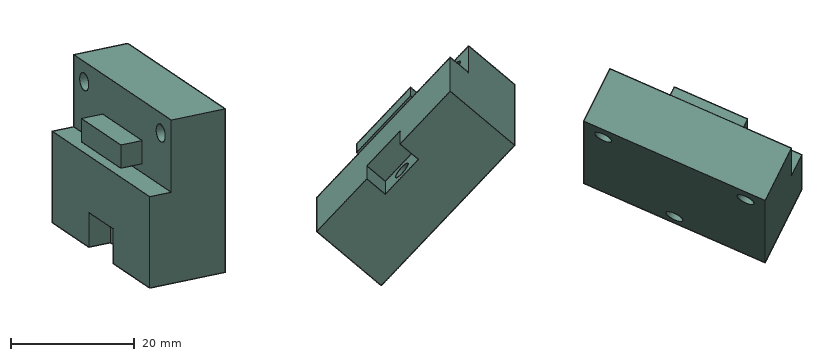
import cadquery as cq

width = 32.4
depth = 14.0
height = 28.5

step_depth = 4.0
step_height = 15.95

boss_width = 13.1
boss_height = 4.05
boss_bottom = 17.5
boss_length = 3.95

notch_width = 8.05
notch_height = 6.05
notch_depth = step_depth

hole_diameter = 3.0
corner_hole_inset = 3.5
corner_hole_x = width / 2 - corner_hole_inset
corner_hole_z = height - corner_hole_inset
lower_hole_z = notch_height / 2


def centred_box(size_x, size_y, size_z, front, bottom):
    """Box centred on X, starting at the given front Y and bottom Z."""
    box = cq.Workplane("XY").box(size_x, size_y, size_z, centered=(True, False, False))
    return box.translate((0, front, bottom))


body = centred_box(width, depth, height, 0, 0)
body = body.cut(centred_box(width, step_depth, height - step_height, 0, step_height))

body = body.union(
    centred_box(boss_width, boss_length, boss_height, step_depth - boss_length, boss_bottom)
)
body = body.cut(centred_box(notch_width, notch_depth, notch_height, 0, 0))

hole_positions = [
    (-corner_hole_x, corner_hole_z),
    (corner_hole_x, corner_hole_z),
    (0, lower_hole_z),
]
holes = (
    cq.Workplane("XZ", origin=(0, depth, 0))
    .pushPoints(hole_positions)
    .circle(hole_diameter / 2)
    .extrude(depth)
)
result = body.cut(holes)